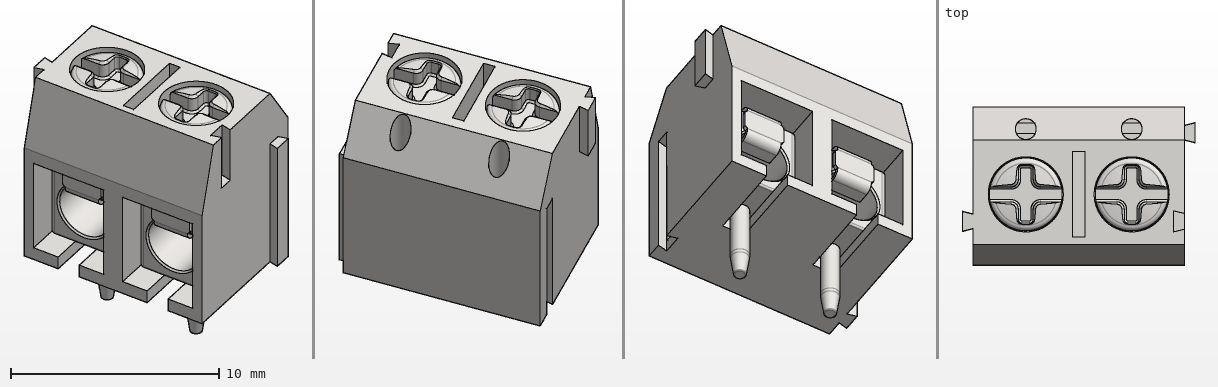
import cadquery as cq
import math


body_width = 10.17
body_depth = 7.6
body_height = 10.0
front_slope_run = 1.0
front_slope_foot = 6.43
back_slope_run = 1.59
back_slope_foot = 7.6
pitch = body_width / 2
pole_xs = [-pitch / 2, pitch / 2]
axis_y = 3.4

cavity_width = 4.0
cavity_floor = 0.7
cavity_roof = 5.71
cavity_back = 6.82
pin_slot_width = 1.2
pin_slot_end = axis_y + pin_slot_width / 2

rail_split = 7.0
rail_outer = 0.97
rail_neck = 0.72
rail_reach = 0.5
upper_rail_y = 2.1
lower_rail_y = 6.36
groove_clearance = 0.04
groove_depth = (pitch - cavity_width) / 2

probe_diameter = 1.0
probe_y = 6.53
probe_floor = rail_split
probe_slit_front = 6.32
divider_width = 0.6
divider_depth = 2.0

cage_width = 3.94
cage_length = 4.09
cage_bottom = 0.8
cage_top = 5.29
cage_corner = 0.3
cage_edge = 0.101
cage_front = axis_y - cage_length / 2
wire_diameter = 2.9
wire_z = 2.81
wire_chamfer = 0.1

guard_thickness = 0.2
guard_width = 2.17
guard_flange_width = 1.9
guard_flange_length = 1.08
guard_bottom = 3.54
guard_top = 5.67
guard_bend = 0.46
guard_front = cage_front - guard_thickness
guard_corner = (guard_width - guard_flange_width) / 2

pin_diameter = 0.95
pin_tip_diameter = 0.61
pin_length = 3.5
pin_straight = 2.31
pin_blend = 1.35
pin_tip_edge = 0.05

bore_diameter = 3.6
head_diameter = 3.5
shank_diameter = 2.0
head_bottom = 8.0
head_crest = 9.99
head_rim = 9.87
head_rounding = 0.25
shank_end = 4.32
drive_depth = 1.0
drive_width = 0.72
drive_arm_span = 2.77
drive_inner_radius = 0.35
drive_end_radius = 0.18
drive_floor_chamfer = 0.11
drive_lip_start = 9.81
drive_lip_angle = 40


def block(x0, x1, y0, y1, z0, z1):
    """Box between two corners."""
    return cq.Workplane("XY").box(x1 - x0, y1 - y0, z1 - z0, centered=False).translate((x0, y0, z0))


def cylinder(diameter, x, y, z0, z1):
    """Vertical cylinder between two heights."""
    return cq.Workplane("XY", origin=(x, y, z0)).circle(diameter / 2).extrude(z1 - z0)


def dovetail(wall_x, y, neck, outer, reach, z0, z1):
    """Dovetail bar that starts at a side wall and widens towards -X."""
    outline = [
        (wall_x, y - neck / 2),
        (wall_x, y + neck / 2),
        (wall_x - reach, y + outer / 2),
        (wall_x - reach, y - outer / 2),
    ]
    return cq.Workplane("XY", origin=(0, 0, z0)).polyline(outline).close().extrude(z1 - z0)


def rail(wall_x, y, z0, z1):
    return dovetail(wall_x, y, rail_neck, rail_outer, rail_reach, z0, z1)


def groove(wall_x, y, z0, z1):
    neck = rail_neck + groove_clearance
    outer = rail_outer + groove_clearance
    return dovetail(wall_x, y, neck, outer, groove_depth, z0, z1)


def make_shell():
    """Plain housing block with its front and back slopes."""
    outline = [
        (0, 0),
        (body_depth, 0),
        (body_depth, back_slope_foot),
        (body_depth - back_slope_run, body_height),
        (front_slope_run, body_height),
        (0, front_slope_foot),
    ]
    profile = cq.Workplane("YZ", origin=(-body_width / 2, 0, 0)).polyline(outline).close()
    return profile.extrude(body_width)


def pole_cutout(x):
    """Everything removed from the housing for one pole."""
    half_cavity = cavity_width / 2
    half_slot = pin_slot_width / 2
    half_probe = probe_diameter / 2
    cavity = block(x - half_cavity, x + half_cavity, 0, cavity_back, cavity_floor, cavity_roof)
    pin_slot = block(x - half_slot, x + half_slot, 0, pin_slot_end, 0, cavity_floor)
    bore = cylinder(bore_diameter, x, axis_y, head_bottom, body_height)
    shank_hole = cylinder(shank_diameter, x, axis_y, cavity_roof, head_bottom)
    probe = cylinder(probe_diameter, x, probe_y, probe_floor, body_height)
    probe_slit = block(
        x - half_probe, x + half_probe, probe_slit_front, cavity_back, cavity_roof, probe_floor
    ).intersect(cylinder(probe_diameter, x, probe_y, cavity_roof, probe_floor))
    return cavity.union(pin_slot).union(shank_hole).union(bore).union(probe).union(probe_slit)


def make_housing():
    wall = body_width / 2
    housing = make_shell()

    housing = housing.union(rail(-wall, upper_rail_y, rail_split, body_height))
    lower_rail = rail(-wall, lower_rail_y, 0, rail_split).mirror("YZ")
    housing = housing.union(lower_rail)

    upper_groove = groove(wall, upper_rail_y, rail_split, body_height)
    lower_groove = groove(wall, lower_rail_y, 0, rail_split).mirror("YZ")
    housing = housing.cut(upper_groove).cut(lower_groove)

    divider = block(
        -divider_width / 2,
        divider_width / 2,
        cage_front,
        cage_front + cage_length,
        body_height - divider_depth,
        body_height,
    )
    housing = housing.cut(divider)

    for x in pole_xs:
        housing = housing.cut(pole_cutout(x))
    return housing


def make_cage():
    """Rounded block with the wire hole and the screw hole, on X = 0."""
    half = cage_width / 2
    cage = block(-half, half, cage_front, cage_front + cage_length, cage_bottom, cage_top)
    cage = cage.edges("|Z").fillet(cage_corner)
    cage = cage.faces("<Z or >Z").edges().fillet(cage_edge)
    wire_hole = (
        cq.Workplane("XZ", origin=(0, cage_front, wire_z)).circle(wire_diameter / 2).extrude(-cage_length)
    )
    mouth = cq.Workplane(
        cq.Solid.makeCone(
            wire_diameter / 2 + wire_chamfer,
            wire_diameter / 2,
            wire_chamfer,
            cq.Vector(0, cage_front, wire_z),
            cq.Vector(0, 1, 0),
        )
    )
    screw_hole = cylinder(shank_diameter, 0, axis_y, shank_end, cage_top)
    return cage.cut(wire_hole).cut(mouth).cut(screw_hole)


def make_guard():
    """C-shaped leaf: a wide front plate with narrower flanges bent back above and below."""
    back = guard_front + guard_flange_length
    half_width = guard_width / 2
    height = guard_top - guard_bottom
    middle = (guard_top + guard_bottom) / 2
    channel = block(-half_width, half_width, guard_front, back, guard_bottom, guard_top)
    channel = channel.edges("|X and <Y").fillet(guard_bend)
    inner_bend = guard_bend - guard_thickness
    hollow = block(
        -half_width,
        half_width,
        cage_front,
        back,
        guard_bottom + guard_thickness,
        guard_top - guard_thickness,
    )
    hollow = hollow.edges("|X and <Y").fillet(inner_bend)
    channel = channel.cut(hollow)

    plate_height = height - 2 * guard_bend
    front = cq.Workplane("XZ", origin=(0, guard_front, middle))
    plate = front.rect(guard_width, plate_height).extrude(-guard_flange_length)
    plate = plate.edges("|Y").chamfer(guard_corner)
    strip = front.rect(guard_flange_width, height).extrude(-guard_flange_length)
    return channel.intersect(plate.union(strip))


def make_pin():
    """Round solder pin with a tapered end."""
    tip_radius = pin_tip_diameter / 2
    profile = (
        cq.Workplane("XZ")
        .moveTo(0, cage_bottom + cage_edge)
        .lineTo(pin_diameter / 2, cage_bottom + cage_edge)
        .lineTo(pin_diameter / 2, -pin_straight)
        .lineTo(tip_radius, -pin_length)
        .lineTo(0, -pin_length)
        .close()
    )
    pin = profile.revolve(360, (0, 0, 0), (0, 1, 0))
    shoulder = cq.selectors.NearestToPointSelector((0, 0, -pin_straight))
    pin = pin.edges(shoulder).fillet(pin_blend)
    pin = pin.faces("<Z").edges().fillet(pin_tip_edge)
    return pin.translate((0, axis_y, 0))


def make_clamp(x):
    """Cage, wire guard and solder pin of one pole as one solid."""
    clamp = make_cage().union(make_guard()).union(make_pin())
    return clamp.translate((x, 0, 0))


def drive_cross():
    """Cross-shaped prism: a slot across the whole head and a shorter arm along Y."""
    floor = head_crest - drive_depth
    slot_length = 2 * head_diameter
    base = cq.Workplane("XY", origin=(0, 0, floor))
    slot = base.rect(slot_length, drive_width).extrude(drive_depth)
    arm = base.rect(drive_width, drive_arm_span).extrude(drive_depth).edges("|Z").fillet(drive_end_radius)
    cross = slot.union(arm)
    near_centre = cq.selectors.BoxSelector(
        (-drive_width, -drive_width, floor), (drive_width, drive_width, head_crest)
    )
    return cross.edges("|Z").edges(near_centre).fillet(drive_inner_radius)


def make_screw(x):
    """Domed screw with a combined slot and cross drive."""
    head_radius = head_diameter / 2
    shank_radius = shank_diameter / 2
    dome_radius = head_radius - head_rounding
    diagonal = head_rounding * math.sqrt(0.5)
    dome_height = head_crest - head_rim
    dome_mid_z = head_rim + dome_height * 3 / 4
    profile = (
        cq.Workplane("XZ")
        .moveTo(0, shank_end)
        .lineTo(shank_radius, shank_end)
        .lineTo(shank_radius, head_bottom)
        .lineTo(head_radius, head_bottom)
        .lineTo(head_radius, head_rim - head_rounding)
        .threePointArc(
            (dome_radius + diagonal, head_rim - head_rounding + diagonal), (dome_radius, head_rim)
        )
        .threePointArc((dome_radius / 2, dome_mid_z), (0, head_crest))
        .close()
    )
    screw = profile.revolve(360, (0, 0, 0), (0, 1, 0))

    cross = drive_cross()
    recess = cross.faces("<Z").chamfer(drive_floor_chamfer)
    lip = (
        cq.Workplane("XY", origin=(0, 0, drive_lip_start))
        .add(cross.faces(">Z").wires().translate((0, 0, drive_lip_start - head_crest)))
        .toPending()
        .extrude(head_crest - drive_lip_start, taper=-drive_lip_angle)
    )
    screw = screw.cut(recess).cut(lip)
    return screw.translate((x, axis_y, 0))


housing = make_housing()
clamps = [make_clamp(x) for x in pole_xs]
screws = [make_screw(x) for x in pole_xs]

result = cq.Compound.makeCompound(
    [
        housing.solids().val(),
        *[clamp.solids().val() for clamp in clamps],
        *[screw.solids().val() for screw in screws],
    ]
)